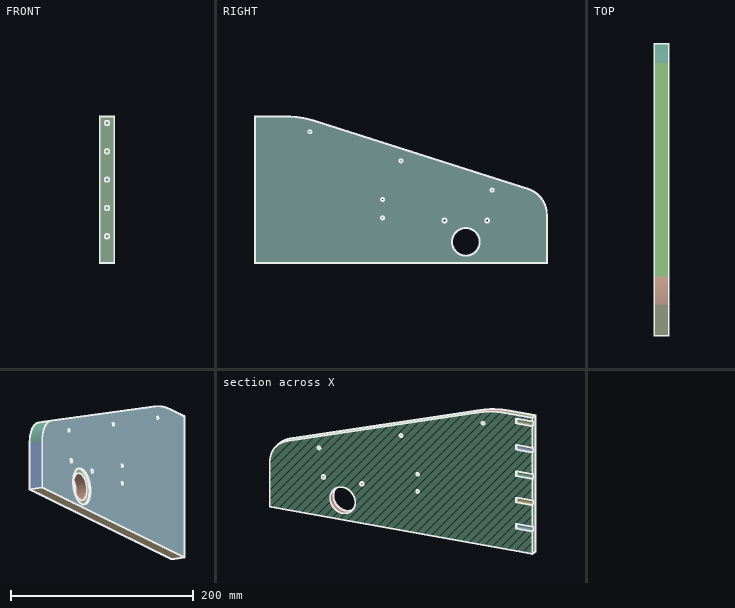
import cadquery as cq

thickness = 16.0
length = 320.0
front_height = 161.0
back_height = 75.0
flat_top_length = 50.0
front_bend_radius = 100.0
back_corner_radius = 30.0

bore_y = 231.0
bore_z = 23.5
bore_diameter = 30.0
seat_diameter = 40.0
seat_depth = 2.0

mount_hole_diameter = 4.0
mount_hole_offset = 23.5
small_hole_diameter = 3.2
slope_hole_count = 3
slope_hole_start_y = 60.0
slope_hole_start_z = 144.0
slope_hole_step_y = 100.0
slope_hole_step_z = 32.0
pair_y = 140.0
pair_bottom_z = 49.5
pair_spacing = 20.0

edge_hole_count = 5
edge_hole_diameter = 5.0
edge_hole_depth = 20.0
edge_hole_top_z = front_height - 7.5
edge_hole_spacing = 31.0


def make_plate():
    """Plate with a sloping top edge and two rounded upper corners."""
    plate = (
        cq.Workplane("YZ")
        .polyline([
            (0, 0),
            (length, 0),
            (length, back_height),
            (flat_top_length, front_height),
            (0, front_height),
        ])
        .close()
        .extrude(thickness)
    )
    back_corner = cq.selectors.NearestToPointSelector((thickness / 2, length, back_height))
    plate = plate.edges("|X").edges(back_corner).fillet(back_corner_radius)
    front_bend = cq.selectors.NearestToPointSelector((thickness / 2, flat_top_length, front_height))
    return plate.edges("|X").edges(front_bend).fillet(front_bend_radius)


def cross_cylinders(points, diameter, depth):
    """Cylinders along X, starting on the -X face at (y, z) points."""
    return cq.Workplane("YZ").pushPoints(points).circle(diameter / 2).extrude(depth)


def edge_cylinders():
    """Column of cylinders reaching into the plate from its front edge."""
    points = [
        (thickness / 2, edge_hole_top_z - i * edge_hole_spacing)
        for i in range(edge_hole_count)
    ]
    return (
        cq.Workplane("XZ")
        .pushPoints(points)
        .circle(edge_hole_diameter / 2)
        .extrude(-edge_hole_depth)
    )


bore_centre = [(bore_y, bore_z)]
mount_points = [
    (bore_y + side * mount_hole_offset, bore_z + mount_hole_offset)
    for side in (-1, 1)
]
slope_points = [
    (slope_hole_start_y + i * slope_hole_step_y, slope_hole_start_z - i * slope_hole_step_z)
    for i in range(slope_hole_count)
]
pair_points = [(pair_y, pair_bottom_z), (pair_y, pair_bottom_z + pair_spacing)]

result = (
    make_plate()
    .cut(cross_cylinders(bore_centre, bore_diameter, thickness))
    .cut(cross_cylinders(bore_centre, seat_diameter, seat_depth))
    .cut(cross_cylinders(mount_points, mount_hole_diameter, thickness))
    .cut(cross_cylinders(slope_points + pair_points, small_hole_diameter, thickness))
    .cut(edge_cylinders())
)